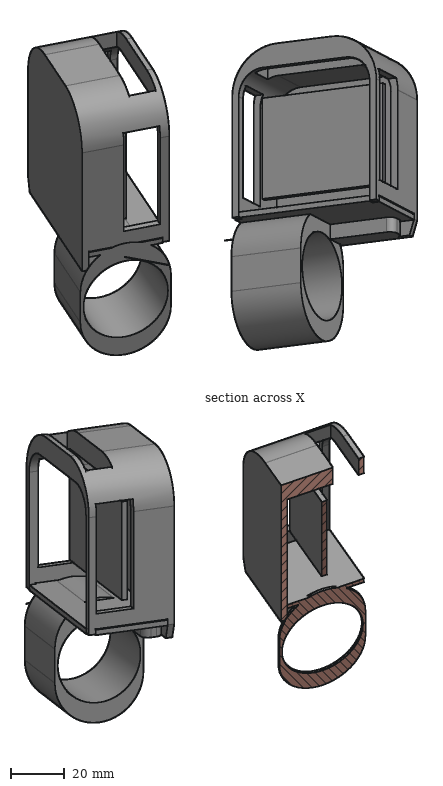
import cadquery as cq


TOTAL_HEIGHT = 111.6
HOUSING_WIDTH = 60.0
HOUSING_DEPTH = 34.6
HOUSING_BOTTOM = 46.5
OUTER_RADIUS = 18.5
SIDE_WALL = 2.8
FRONT_WALL = 2.7
CEILING_THICKNESS = 8.7
CAVITY_RADIUS = 10
FRONT_Y = -HOUSING_DEPTH / 2
BACK_Y = HOUSING_DEPTH / 2
INNER_FRONT_Y = FRONT_Y + FRONT_WALL
INNER_WIDTH = HOUSING_WIDTH - 2 * SIDE_WALL

APRON_BOTTOM = 40.5
APRON_CORNER_RUN = 1.9

WINDOW_BOTTOM = 54.7
WINDOW_HEIGHT = 43.1
WINDOW_FRONT_Y = -0.8
LEFT_WINDOW_DEPTH = 15.1
RIGHT_WINDOW_DEPTH = 14.4

SLOT_LENGTH = 43.1
SLOT_FRONT_Y = 4.4
SLOT_DEPTH = 10.6

RIB_LEFT_X = 4.8
RIB_REACH = 7.8
RIB_RADIUS = 3.0
RIB_HIDDEN_DEPTH = 0.3

BASE_TOP = 48.3
BASE_THICKNESS = 2.1
TONGUE_GAP = 0.3
RING_RADIUS = 18.0
RING_HEIGHT = 49.3
RING_LENGTH = 28.9
BORE_DIAMETER = 33.5
BASE_BOTTOM = BASE_TOP - BASE_THICKNESS
TONGUE_DEPTH = 2 * abs(INNER_FRONT_Y)
RING_LEFT_X = HOUSING_WIDTH - RING_LENGTH

WIRE_DIAMETER = 0.2
WIRE_START_Z = 43.1
WIRE_RUN_X = 3.8
WIRE_RUN_Y = 15.6
WIRE_RUN_Z = -4.6
WIRE_ROOT = 0.1

PANEL_CLEARANCE = 2.1
PANEL_THICKNESS = 2.2
PANEL_FRONT_Y = -0.3


def box(x, y, z, length, depth, height):
    """Box placed by its left, front, bottom corner."""
    return cq.Workplane("XY").box(length, depth, height, centered=False).translate((x, y, z))


def arch(width, bottom, top, radius, depth, front_y):
    """Upright block with two rounded top corners, centred on the housing width."""
    block = box((HOUSING_WIDTH - width) / 2, front_y, bottom, width, depth, top - bottom)
    return block.edges("|Y and >Z").fillet(radius)


def make_apron():
    outline = [
        (0, HOUSING_BOTTOM),
        (APRON_CORNER_RUN, APRON_BOTTOM),
        (HOUSING_WIDTH, APRON_BOTTOM),
        (HOUSING_WIDTH, HOUSING_BOTTOM),
    ]
    plane = cq.Workplane("XZ", origin=(0, FRONT_Y, 0))
    return plane.polyline(outline).close().extrude(-FRONT_WALL)


def make_rib():
    length = RING_LEFT_X - RIB_LEFT_X
    height = BASE_BOTTOM - APRON_BOTTOM
    front_y = INNER_FRONT_Y - RIB_HIDDEN_DEPTH
    rib = box(RIB_LEFT_X, front_y, APRON_BOTTOM, length, RIB_REACH + RIB_HIDDEN_DEPTH, height)
    return rib.edges("|Z and <X").fillet(RIB_RADIUS)


def make_housing(holder):
    housing = arch(HOUSING_WIDTH, HOUSING_BOTTOM, TOTAL_HEIGHT, OUTER_RADIUS, HOUSING_DEPTH, FRONT_Y)

    ceiling = TOTAL_HEIGHT - CEILING_THICKNESS
    cavity_depth = BACK_Y - INNER_FRONT_Y
    housing = housing.cut(
        arch(INNER_WIDTH, HOUSING_BOTTOM, ceiling, CAVITY_RADIUS, cavity_depth, INNER_FRONT_Y)
    )

    half_width = HOUSING_WIDTH / 2
    for left_x, depth in ((0, LEFT_WINDOW_DEPTH), (half_width, RIGHT_WINDOW_DEPTH)):
        housing = housing.cut(
            box(left_x, WINDOW_FRONT_Y, WINDOW_BOTTOM, half_width, depth, WINDOW_HEIGHT)
        )

    slot_x = (HOUSING_WIDTH - SLOT_LENGTH) / 2
    slot_z = ceiling - CAVITY_RADIUS
    housing = housing.cut(
        box(slot_x, SLOT_FRONT_Y, slot_z, SLOT_LENGTH, SLOT_DEPTH, TOTAL_HEIGHT - slot_z)
    )

    notch_height = BASE_TOP + TONGUE_GAP - HOUSING_BOTTOM
    housing = housing.cut(
        box(0, INNER_FRONT_Y, HOUSING_BOTTOM, HOUSING_WIDTH, TONGUE_DEPTH, notch_height)
    )

    housing = housing.union(make_apron()).union(make_rib())

    return housing.cut(holder)


def make_ring():
    middle_z = RING_HEIGHT / 2
    plane = cq.Workplane("YZ", origin=(RING_LEFT_X, 0, middle_z))
    ring = plane.slot2D(RING_HEIGHT, 2 * RING_RADIUS, 90).extrude(RING_LENGTH)
    bore = plane.circle(BORE_DIAMETER / 2).extrude(RING_LENGTH)
    return ring.cut(bore)


def make_wire():
    direction = cq.Vector(WIRE_RUN_X, WIRE_RUN_Y, WIRE_RUN_Z)
    start = cq.Vector(HOUSING_WIDTH, 0, WIRE_START_Z) - direction * WIRE_ROOT
    length = direction.Length * (1 + WIRE_ROOT)
    return cq.Workplane(cq.Solid.makeCylinder(WIRE_DIAMETER / 2, length, start, direction))


def make_holder():
    base = box(
        SIDE_WALL, INNER_FRONT_Y, BASE_BOTTOM, INNER_WIDTH, BACK_Y - INNER_FRONT_Y, BASE_THICKNESS
    )
    tongues = box(0, INNER_FRONT_Y, BASE_BOTTOM, HOUSING_WIDTH, TONGUE_DEPTH, BASE_THICKNESS)
    return base.union(tongues).union(make_ring()).union(make_wire())


def make_panel():
    return box(
        SIDE_WALL + PANEL_CLEARANCE,
        PANEL_FRONT_Y,
        WINDOW_BOTTOM + PANEL_CLEARANCE,
        INNER_WIDTH - 2 * PANEL_CLEARANCE,
        PANEL_THICKNESS,
        WINDOW_HEIGHT - 2 * PANEL_CLEARANCE,
    )


holder = make_holder()
housing = make_housing(holder)
panel = make_panel()

result = cq.Compound.makeCompound([housing.val(), holder.val(), panel.val()])